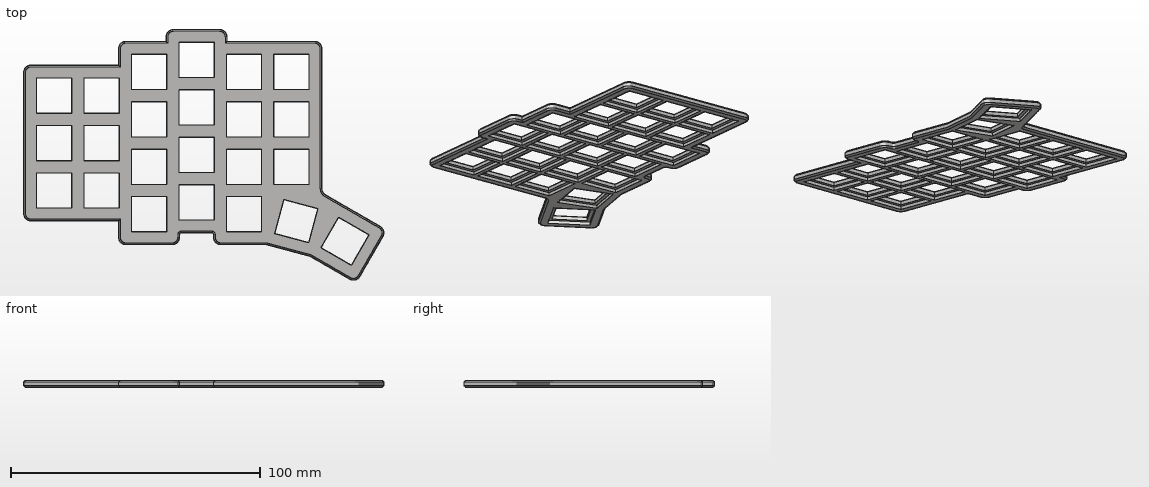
import cadquery as cq
import math

thickness = 2.8
edge_chamfer = 0.7
corner_radius = 3.0
notch_corner_radius = 0.8
thumb_bend_radius = 3.0

pitch = 19.0
cutout_size = 14.0
lip_thickness = 1.5
pocket_size = 17.0
half_cell = 12.2

half_step = pitch / 2
quarter_step = pitch / 4
columns = [
    (half_step, 3),
    (half_step, 3),
    (0.0, 4),
    (quarter_step, 4),
    (0.0, 4),
    (pitch, 3),
]
origin_column = 4

thumb_turn = 15.0
thumb_spacing = 21.1
thumb_count = 2


def column_x(index):
    return (index - origin_column) * pitch


def column_bottom(index):
    return columns[index][0] - half_cell


def column_top(index):
    lowest, count = columns[index]
    return lowest + (count - 1) * pitch + half_cell


def column_left(index):
    return column_x(index) - half_cell


def column_right(index):
    return column_x(index) + half_cell


def thumb_keys():
    """Centres and angles (x, y, degrees) of the thumb keys."""
    keys = []
    x, y, angle = 0.0, 0.0, 0.0
    for _ in range(thumb_count):
        heading = math.radians(angle - thumb_turn / 2)
        x += thumb_spacing * math.cos(heading)
        y += thumb_spacing * math.sin(heading)
        angle -= thumb_turn
        keys.append((x, y, angle))
    return keys


def column_keys():
    """Centres and angles (x, y, degrees) of the keys in the straight columns."""
    keys = []
    for index, (lowest, count) in enumerate(columns):
        for row in range(count):
            keys.append((column_x(index), lowest + row * pitch, 0.0))
    return keys


def cell_point(key, along, across):
    """Point of a turned key cell, given in the key's own directions."""
    x, y, degrees = key
    angle = math.radians(degrees)
    return (
        x + along * math.cos(angle) - across * math.sin(angle),
        y + along * math.sin(angle) + across * math.cos(angle),
    )


def bend_point(key):
    """Point where the lower cell edges of a key and the next key in the thumb arc cross."""
    half_turn = math.radians(thumb_turn / 2)
    along = thumb_spacing / 2 / math.cos(half_turn) - half_cell * math.tan(half_turn)
    return cell_point(key, along, -half_cell)


def thumb_root():
    """Point where the upper edge of the thumb arm meets the right side of the columns."""
    corner_x, corner_y = cell_point(thumb_keys()[-1], -half_cell, half_cell)
    right_side = column_right(len(columns) - 1)
    slope = math.tan(math.radians(thumb_count * thumb_turn))
    return (right_side, corner_y + (corner_x - right_side) * slope)


def outline_corners():
    """Outline corners, clockwise from the lower left, as (point, rounding radius)."""
    first_thumb, last_thumb = thumb_keys()
    right_side = column_right(len(columns) - 1)
    return [
        ((column_left(0), column_bottom(0)), corner_radius),
        ((column_left(0), column_top(0)), corner_radius),
        ((column_left(2), column_top(0)), 0),
        ((column_left(2), column_top(2)), corner_radius),
        ((column_left(3), column_top(2)), 0),
        ((column_left(3), column_top(3)), corner_radius),
        ((column_right(3), column_top(3)), corner_radius),
        ((column_right(3), column_top(4)), 0),
        ((right_side, column_top(5)), corner_radius),
        (thumb_root(), thumb_bend_radius),
        (cell_point(last_thumb, half_cell, half_cell), corner_radius),
        (cell_point(last_thumb, half_cell, -half_cell), corner_radius),
        (bend_point(first_thumb), thumb_bend_radius),
        (bend_point((0.0, 0.0, 0.0)), 0),
        ((column_left(4), column_bottom(4)), corner_radius),
        ((column_left(4), column_bottom(3)), notch_corner_radius),
        ((column_right(2), column_bottom(3)), notch_corner_radius),
        ((column_right(2), column_bottom(2)), corner_radius),
        ((column_left(2), column_bottom(2)), corner_radius),
        ((column_left(2), column_bottom(0)), 0),
    ]


def make_plate():
    corners = outline_corners()
    plate = cq.Workplane("XY").polyline([point for point, _ in corners]).close().extrude(thickness)
    for (x, y), radius in corners:
        if radius > 0:
            corner_edge = cq.selectors.NearestToPointSelector((x, y, thickness / 2))
            plate = plate.edges("|Z").edges(corner_edge).fillet(radius)
    return plate.faces("<Z or >Z").edges().chamfer(edge_chamfer)


def key_opening():
    """Square cutout with a wider pocket below it, which leaves a thin lip at the top."""
    cutout = cq.Workplane("XY").rect(cutout_size, cutout_size).extrude(thickness)
    pocket = cq.Workplane("XY").rect(pocket_size, pocket_size).extrude(thickness - lip_thickness)
    return cutout.union(pocket)


def cut_keys(plate, keys):
    opening = key_opening()
    for x, y, angle in keys:
        plate = plate.cut(opening.rotate((0, 0, 0), (0, 0, 1), angle).translate((x, y, 0)))
    return plate


result = cut_keys(make_plate(), column_keys() + thumb_keys())